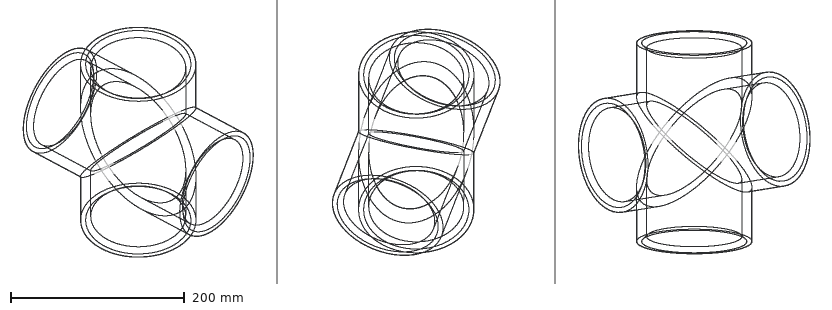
import cadquery as cq

overall_length = 234.0
outer_diameter = 133.0
bore_diameter = 109.5
mouth_diameter = 121.2
mouth_depth = 5.8

half_length = overall_length / 2


def pipe_body():
    """Solid outer envelope of one straight run along Z."""
    return cq.Workplane("XY").circle(outer_diameter / 2).extrude(half_length, both=True)


def pipe_bore():
    """Through bore along Z, widening conically to both open ends."""
    bore_radius = bore_diameter / 2
    mouth_radius = mouth_diameter / 2
    cone_start = half_length - mouth_depth
    return (
        cq.Workplane("XZ")
        .moveTo(0, -half_length)
        .lineTo(mouth_radius, -half_length)
        .lineTo(bore_radius, -cone_start)
        .lineTo(bore_radius, cone_start)
        .lineTo(mouth_radius, half_length)
        .lineTo(0, half_length)
        .close()
        .revolve(360, (0, 0, 0), (0, 1, 0))
    )


def along_x(run):
    """Turn a run along Z so that it lies along X."""
    return run.rotate((0, 0, 0), (0, 1, 0), 90)


body = pipe_body().union(along_x(pipe_body()))
result = body.cut(pipe_bore()).cut(along_x(pipe_bore()))